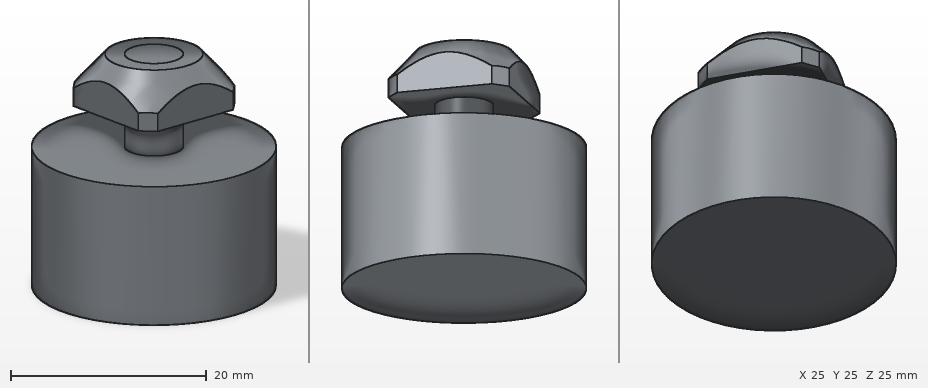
import cadquery as cq

BASE_DIAMETER = 25.0
BASE_HEIGHT = 15.0
STUD_DIAMETER = 6.0
TOTAL_HEIGHT = 25.0

HEAD_WIDTH = 13.0
HEAD_HEIGHT = 5.5
HEAD_BOTTOM = TOTAL_HEIGHT - HEAD_HEIGHT
HEAD_TOP_DIAMETER = 10.0
HEAD_CORNER_CHAMFER = 1.42
CONE_BASE_DIAMETER = 16.5
CONE_BASE_HEIGHT = 1.92


def make_base():
    """Cylindrical base with a coaxial stud rising from its top face."""
    base = cq.Workplane("XY").circle(BASE_DIAMETER / 2).extrude(BASE_HEIGHT)
    stud = cq.Workplane("XY").circle(STUD_DIAMETER / 2).extrude(TOTAL_HEIGHT)
    return base.union(stud)


def make_head():
    """Square block with cut corners and a coned top, bored for the stud."""
    block = (
        cq.Workplane("XY", origin=(0, 0, HEAD_BOTTOM))
        .rect(HEAD_WIDTH, HEAD_WIDTH)
        .extrude(HEAD_HEIGHT)
        .edges("|Z")
        .chamfer(HEAD_CORNER_CHAMFER)
    )
    cone_envelope = (
        cq.Workplane("XZ")
        .moveTo(0, HEAD_BOTTOM)
        .lineTo(CONE_BASE_DIAMETER / 2, HEAD_BOTTOM)
        .lineTo(CONE_BASE_DIAMETER / 2, HEAD_BOTTOM + CONE_BASE_HEIGHT)
        .lineTo(HEAD_TOP_DIAMETER / 2, TOTAL_HEIGHT)
        .lineTo(0, TOTAL_HEIGHT)
        .close()
        .revolve(360, (0, 0, 0), (0, 1, 0))
    )
    bore = (
        cq.Workplane("XY", origin=(0, 0, HEAD_BOTTOM))
        .circle(STUD_DIAMETER / 2)
        .extrude(HEAD_HEIGHT)
    )
    return block.intersect(cone_envelope).cut(bore)


base = make_base()
head = make_head()
result = cq.Compound.makeCompound([base.solids().val(), head.solids().val()])